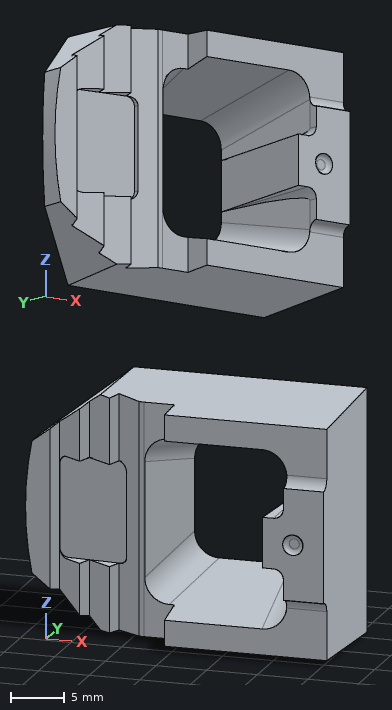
import cadquery as cq
import math

LENGTH = 31.0
HEIGHT = 24.0

STEP_DEPTH = 9.48
BODY_DEPTH = 12.5
PAD_DEPTH = 13.5

HALF_HEIGHT = HEIGHT / 2
SIDE_DRAFT = 3.0
NOSE_HALF_HEIGHT = 6.48
NOSE_BULGE = 0.65
SHOULDER_X = 7.95
BACK_SLOPE = 40.0
STEP_X = 14.97

TEETH_TILT = 4.0
TEETH_COUNT = 3
TEETH_PITCH = 3.0
FIRST_TIP_X = 2.48
TEETH_END_X = 12.0
ROOT_SHIFT = 0.5
TOOTH_HEIGHT = 1.45

PANEL_START_X = 3.0
PANEL_LENGTH = 6.9
PANEL_HEIGHT = 10.0
PANEL_RADIUS = 0.9

WINDOW_LEFT_X = 13.98
WINDOW_RIGHT_X = 25.95
WINDOW_HALF_HEIGHT = 5.98
WINDOW_LEFT_TAPER = 11.4
WINDOW_RIGHT_TAPER = 5.0
WINDOW_SIDE_TAPER = 12.6
WINDOW_RADIUS = 2.48

PAD_HALF_HEIGHT = 5.5
TONGUE_X = 24.95
TONGUE_HALF_HEIGHT = 2.48
TONGUE_FILLET = 1.0

DIMPLE_X = 27.95
DIMPLE_RADIUS = 1.0
DIMPLE_FLOOR_RADIUS = 0.5

GROOVE_RADIUS = 2.5
GROOVE_DEPTH = 1.85
GROOVE_TILT = 24.0

HALF_ARC = math.sqrt(0.5)


def tan(degrees):
    return math.tan(math.radians(degrees))


def tip_depth(x):
    """Depth of the tilted line that carries the tooth tips."""
    return STEP_DEPTH - (TEETH_END_X - x) * tan(TEETH_TILT)


def side_profile():
    """Back slope, teeth and step, drawn in XY and extruded over the full height."""
    points = [
        (LENGTH, 0),
        (SHOULDER_X, 0),
        (0, -SHOULDER_X * tan(BACK_SLOPE)),
        (0, -tip_depth(0)),
    ]
    for i in range(TEETH_COUNT):
        tip_x = FIRST_TIP_X + i * TEETH_PITCH
        points.append((tip_x, -tip_depth(tip_x)))
        points.append((tip_x + ROOT_SHIFT, TOOTH_HEIGHT - tip_depth(tip_x)))
    last_tip_x = FIRST_TIP_X + TEETH_COUNT * TEETH_PITCH
    points += [
        (last_tip_x, -tip_depth(last_tip_x)),
        (TEETH_END_X, -STEP_DEPTH),
        (STEP_X, -STEP_DEPTH),
        (STEP_X, -BODY_DEPTH),
        (LENGTH, -BODY_DEPTH),
    ]
    return cq.Workplane("XY").polyline(points).close().extrude(HALF_HEIGHT, both=True)


def nose_outline():
    """Block with chamfered shoulders and a bowed nose."""
    return (
        cq.Workplane("XZ")
        .moveTo(NOSE_BULGE, -NOSE_HALF_HEIGHT)
        .threePointArc((0, 0), (NOSE_BULGE, NOSE_HALF_HEIGHT))
        .lineTo(SHOULDER_X, HALF_HEIGHT)
        .lineTo(LENGTH, HALF_HEIGHT)
        .lineTo(LENGTH, -HALF_HEIGHT)
        .lineTo(SHOULDER_X, -HALF_HEIGHT)
        .close()
        .extrude(BODY_DEPTH)
    )


def drafted_sides():
    """Trapezoid that narrows away from the back."""
    front_half_height = HALF_HEIGHT - BODY_DEPTH * tan(SIDE_DRAFT)
    points = [
        (0, HALF_HEIGHT),
        (-BODY_DEPTH, front_half_height),
        (-BODY_DEPTH, -front_half_height),
        (0, -HALF_HEIGHT),
    ]
    return cq.Workplane("YZ").polyline(points).close().extrude(LENGTH)


def label_panel():
    """Cutter whose floor runs along the tooth roots."""
    root_depth = tip_depth(FIRST_TIP_X) - TOOTH_HEIGHT
    floor_end_x = PANEL_START_X + PANEL_LENGTH
    floor_end_depth = root_depth + PANEL_LENGTH * tan(TEETH_TILT)
    points = [
        (PANEL_START_X, -root_depth),
        (floor_end_x, -floor_end_depth),
        (floor_end_x, -BODY_DEPTH),
        (PANEL_START_X, -BODY_DEPTH),
    ]
    return (
        cq.Workplane("XY")
        .polyline(points)
        .close()
        .extrude(PANEL_HEIGHT / 2, both=True)
        .edges("|Y")
        .fillet(PANEL_RADIUS)
    )


def window():
    """Four-sided tapered opening with rounded corners."""
    left_shift = BODY_DEPTH * tan(WINDOW_LEFT_TAPER)
    right_shift = BODY_DEPTH * tan(WINDOW_RIGHT_TAPER)
    side_shift = BODY_DEPTH * tan(WINDOW_SIDE_TAPER)
    end_walls = [
        (WINDOW_LEFT_X, 0),
        (WINDOW_RIGHT_X, 0),
        (WINDOW_RIGHT_X + right_shift, -BODY_DEPTH),
        (WINDOW_LEFT_X - left_shift, -BODY_DEPTH),
    ]
    side_walls = [
        (0, WINDOW_HALF_HEIGHT),
        (0, -WINDOW_HALF_HEIGHT),
        (-BODY_DEPTH, -WINDOW_HALF_HEIGHT - side_shift),
        (-BODY_DEPTH, WINDOW_HALF_HEIGHT + side_shift),
    ]
    between_ends = cq.Workplane("XY").polyline(end_walls).close().extrude(HALF_HEIGHT, both=True)
    between_sides = cq.Workplane("YZ").polyline(side_walls).close().extrude(LENGTH)
    return between_ends.intersect(between_sides).edges("not(#Y)").fillet(WINDOW_RADIUS)


def locating_pad():
    """Raised pad whose long flanks sweep into the body with full-height fillets."""
    pad_left_x = WINDOW_RIGHT_X + BODY_DEPTH * tan(WINDOW_RIGHT_TAPER)
    rise = PAD_DEPTH - BODY_DEPTH
    foot = PAD_HALF_HEIGHT + rise
    bend = rise * (1 - HALF_ARC)
    pad = (
        cq.Workplane("YZ", origin=(pad_left_x, 0, 0))
        .moveTo(-BODY_DEPTH, foot)
        .threePointArc((-BODY_DEPTH - bend, PAD_HALF_HEIGHT + bend), (-PAD_DEPTH, PAD_HALF_HEIGHT))
        .lineTo(-PAD_DEPTH, -PAD_HALF_HEIGHT)
        .threePointArc((-BODY_DEPTH - bend, -PAD_HALF_HEIGHT - bend), (-BODY_DEPTH, -foot))
        .close()
        .extrude(LENGTH - pad_left_x)
    )
    return pad.union(tongue(pad_left_x))


def tongue(root_x):
    """Tongue that leans back to the window edge, with flares along both flanks."""
    lean = [
        (TONGUE_X, -PAD_DEPTH),
        (WINDOW_RIGHT_X, 0),
        (LENGTH, 0),
        (LENGTH, -PAD_DEPTH),
    ]
    wedge = cq.Workplane("XY").polyline(lean).close().extrude(TONGUE_HALF_HEIGHT, both=True)

    flare_x = root_x - TONGUE_FILLET
    flare_half_height = TONGUE_HALF_HEIGHT + TONGUE_FILLET
    bend = TONGUE_FILLET * HALF_ARC
    bend_x = flare_x + bend
    bend_z = flare_half_height - bend
    flares = (
        cq.Workplane("XZ")
        .moveTo(flare_x, TONGUE_HALF_HEIGHT)
        .threePointArc((bend_x, bend_z), (root_x, flare_half_height))
        .lineTo(LENGTH, flare_half_height)
        .lineTo(LENGTH, -flare_half_height)
        .lineTo(root_x, -flare_half_height)
        .threePointArc((bend_x, -bend_z), (flare_x, -TONGUE_HALF_HEIGHT))
        .close()
        .extrude(PAD_DEPTH)
    )
    return wedge.union(flares)


def dimple():
    """Bowl with a flat floor, turned about an axis along Y."""
    bowl_radius = DIMPLE_RADIUS - DIMPLE_FLOOR_RADIUS
    bend = bowl_radius * HALF_ARC
    return (
        cq.Workplane("XY", origin=(DIMPLE_X, -PAD_DEPTH, 0))
        .lineTo(DIMPLE_RADIUS, 0)
        .threePointArc((DIMPLE_FLOOR_RADIUS + bend, bend), (DIMPLE_FLOOR_RADIUS, bowl_radius))
        .lineTo(0, bowl_radius)
        .close()
        .revolve(360, (0, 0, 0), (0, 1, 0))
    )


def slope_groove():
    """Tilted round groove that starts in the back slope and runs out of the back."""
    tilt = math.radians(GROOVE_TILT)
    bottom_x = SHOULDER_X - GROOVE_DEPTH / tan(BACK_SLOPE)
    along = cq.Vector(math.cos(tilt), math.sin(tilt), 0)
    outward = cq.Vector(-math.sin(tilt), math.cos(tilt), 0)
    start = cq.Vector(bottom_x, -GROOVE_DEPTH, 0) + outward * GROOVE_RADIUS - along * GROOVE_RADIUS
    return cq.Workplane(cq.Solid.makeCylinder(GROOVE_RADIUS, LENGTH / 2, start, along))


body = side_profile().intersect(nose_outline()).intersect(drafted_sides())
body = body.cut(label_panel()).cut(window()).cut(slope_groove())
result = body.union(locating_pad()).cut(dimple())